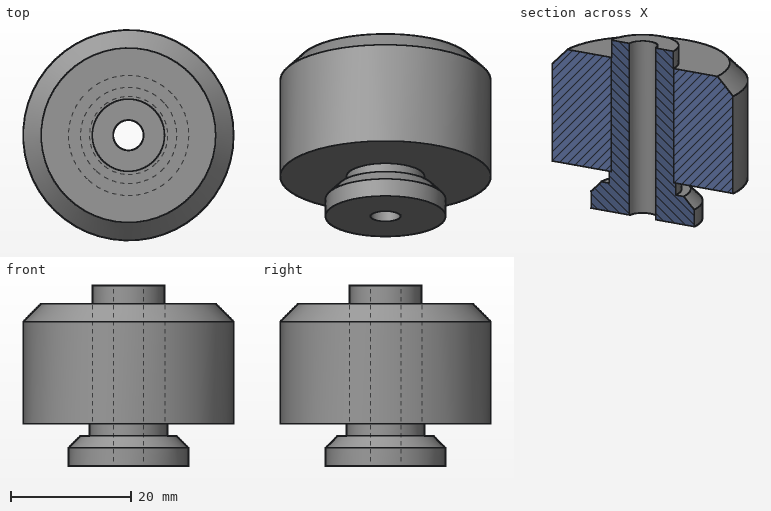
import cadquery as cq

housing_diameter = 35.0
housing_height = 20.0
housing_bevel = 3.0

foot_diameter = 20.0
foot_rim_height = 3.0
foot_bevel = 2.0
neck_diameter = 13.0
neck_height = 2.0
shaft_diameter = 12.0
shaft_projection = 3.0
bore_diameter = 5.0

foot_top = foot_rim_height + foot_bevel
housing_bottom = foot_top + neck_height
housing_top = housing_bottom + housing_height
spindle_top = housing_top + shaft_projection


def cylinder(diameter, bottom, top):
    """Upright cylinder on the Z axis between two levels."""
    return cq.Workplane("XY").workplane(offset=bottom).circle(diameter / 2).extrude(top - bottom)


def make_housing():
    """Bevelled drum with a central hole that fits the spindle shaft."""
    drum = cylinder(housing_diameter, housing_bottom, housing_top).faces(">Z").chamfer(housing_bevel)
    return drum.cut(cylinder(shaft_diameter, housing_bottom, housing_top))


def make_spindle():
    """Stepped spindle with a bevelled foot, bored through along its axis."""
    foot = cylinder(foot_diameter, 0, foot_top).faces(">Z").chamfer(foot_bevel)
    neck = cylinder(neck_diameter, foot_top, housing_bottom)
    shaft = cylinder(shaft_diameter, housing_bottom, spindle_top)
    bore = cylinder(bore_diameter, 0, spindle_top)
    return foot.union(neck).union(shaft).cut(bore)


housing = make_housing()
spindle = make_spindle()
result = cq.Compound.makeCompound([housing.solids().val(), spindle.solids().val()])